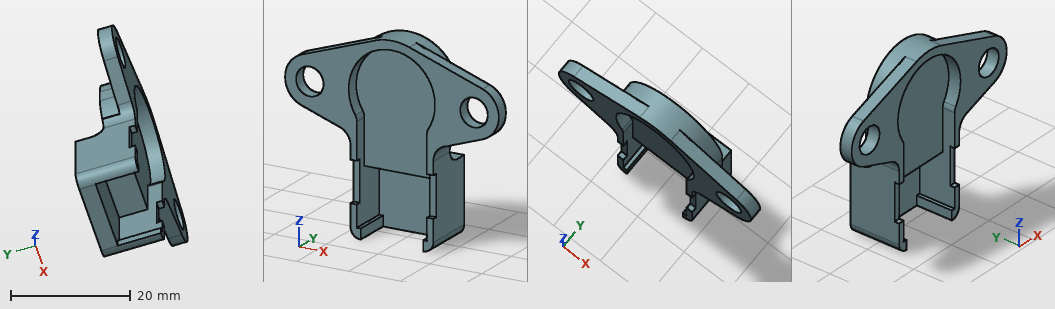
import cadquery as cq
import math

length = 41.25
depth = 10.5
bottom_z = -26.4

flange_thickness = 2.47
ear_radius = 4.8
ear_x = length / 2 - ear_radius
hole_radius = 2.65
boss_radius = 10.02

boss_depth = 5.55
boss_straight = 3.45
boss_corner_radius = 8.12

stem_half_width = 8.0
stem_shoulder_z = -12.1
corner_radius = 2.0
flange_fillet = 3.0
flange_fillet_meets_boss_z = -7.95
shoulder_fillet = 2.35

pocket_radius = 8.35
pocket_half_width = 6.75
pocket_depth = 2.55
neck_fillet = 2.0
channel_depth = 7.6
channel_top_z = -14.2
lip_top_z = -24.4
lip_half_gap = 6.02

notch_top_z = -12.55
notch_bottom_z = -20.25
notch_depth = 1.0


def front_plane():
    """Sketch plane with local axes X and Z; negative extrusion runs toward +Y."""
    return cq.Workplane("XZ")


def block(half_width, low_z, high_z, start_y, end_y):
    """Box centred on X between the given heights and depths."""
    return cq.Workplane("XY").box(
        2 * half_width, end_y - start_y, high_z - low_z, centered=(True, False, False)
    ).translate((0, start_y, low_z))


def flange_outline():
    """Central circle and two ear circles joined by tangent lines, with an inside-filleted stem."""
    sine = (boss_radius - ear_radius) / ear_x
    cosine = math.sqrt(1 - sine**2)
    ear_tangent = (ear_x + ear_radius * sine, ear_radius * cosine)
    boss_tangent = (boss_radius * sine, boss_radius * cosine)

    return (
        front_plane()
        .moveTo(-boss_tangent[0], boss_tangent[1])
        .threePointArc((0, boss_radius), boss_tangent)
        .lineTo(*ear_tangent)
        .threePointArc((length / 2, 0), (ear_tangent[0], -ear_tangent[1]))
        .lineTo(boss_tangent[0], -boss_tangent[1])
        .threePointArc((0, -boss_radius), (-boss_tangent[0], -boss_tangent[1]))
        .lineTo(-ear_tangent[0], -ear_tangent[1])
        .threePointArc((-length / 2, 0), (-ear_tangent[0], ear_tangent[1]))
        .close()
    )


def corner_web():
    """Fillet webs from flange to stem, deep only below the point where they meet the boss."""
    sine = (boss_radius - ear_radius) / ear_x
    cosine = math.sqrt(1 - sine**2)
    centre_x = stem_half_width + flange_fillet
    centre_z = -(boss_radius + flange_fillet - centre_x * sine) / cosine
    edge_end = (centre_x - flange_fillet * sine, centre_z + flange_fillet * cosine)
    mid_angle = (math.pi + math.atan2(cosine, -sine)) / 2
    mid = (
        centre_x + flange_fillet * math.cos(mid_angle),
        centre_z + flange_fillet * math.sin(mid_angle),
    )
    web = (
        front_plane()
        .moveTo(0, 0)
        .lineTo(*edge_end)
        .threePointArc(mid, (stem_half_width, centre_z))
        .lineTo(0, centre_z)
        .close()
        .extrude(-boss_depth)
    )
    behind_flange = block(ear_x, flange_fillet_meets_boss_z, 0, flange_thickness, boss_depth)
    web = web.cut(behind_flange)
    return web.union(web.mirror("YZ"))


def make_boss():
    corner_inner_x = boss_radius - boss_corner_radius
    corner_low_z = -boss_straight - boss_corner_radius
    return (
        front_plane()
        .moveTo(-boss_radius, 0)
        .threePointArc((0, boss_radius), (boss_radius, 0))
        .lineTo(boss_radius, -boss_straight)
        .radiusArc((corner_inner_x, corner_low_z), boss_corner_radius)
        .lineTo(-corner_inner_x, corner_low_z)
        .radiusArc((-boss_radius, -boss_straight), boss_corner_radius)
        .close()
        .extrude(-boss_depth)
    )


def make_stem():
    """Stepped stem, with a concave round where it meets the back of the boss."""
    profile = (
        cq.Workplane("YZ")
        .moveTo(0, 0)
        .lineTo(boss_depth, 0)
        .lineTo(boss_depth, stem_shoulder_z + shoulder_fillet)
        .radiusArc((boss_depth + shoulder_fillet, stem_shoulder_z), -shoulder_fillet)
        .lineTo(depth, stem_shoulder_z)
        .lineTo(depth, bottom_z)
        .lineTo(0, bottom_z)
        .close()
    )
    stem = profile.extrude(stem_half_width, both=True)
    return stem.edges("|Y and <Z").fillet(corner_radius)


def make_pocket():
    """Shallow round pocket blending into the channel width through rounded necks."""
    neck_x = pocket_half_width + neck_fillet
    centre_distance = pocket_radius + neck_fillet
    neck_z = -math.sqrt(centre_distance**2 - neck_x**2)
    tangent_x = neck_x * pocket_radius / centre_distance
    tangent_z = neck_z * pocket_radius / centre_distance
    return (
        front_plane()
        .moveTo(-tangent_x, tangent_z)
        .threePointArc((0, pocket_radius), (tangent_x, tangent_z))
        .radiusArc((pocket_half_width, neck_z), -neck_fillet)
        .lineTo(pocket_half_width, channel_top_z)
        .lineTo(-pocket_half_width, channel_top_z)
        .lineTo(-pocket_half_width, neck_z)
        .radiusArc((-tangent_x, tangent_z), -neck_fillet)
        .close()
        .extrude(-pocket_depth)
    )


flange = flange_outline().extrude(-flange_thickness)
body = flange.union(make_boss()).union(make_stem()).union(corner_web())

holes = front_plane().pushPoints([(-ear_x, 0), (ear_x, 0)]).circle(hole_radius).extrude(-flange_thickness)
channel = block(pocket_half_width, lip_top_z, channel_top_z, 0, channel_depth)
lip_gap = block(lip_half_gap, bottom_z, lip_top_z, 0, channel_depth)
notches = block(stem_half_width, notch_bottom_z, notch_top_z, 0, notch_depth)

result = body.cut(holes).cut(make_pocket()).cut(channel).cut(lip_gap).cut(notches)